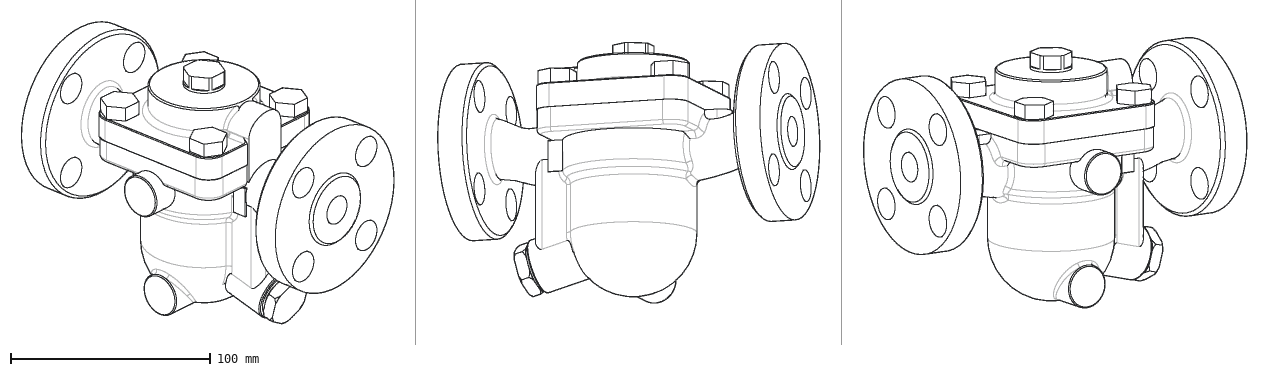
import cadquery as cq
import math

FACE_TO_FACE = 175.0
BODY_X = -2.5

FLANGE_DIA = 89.0
FLANGE_BACK_X = 71.2
FLANGE_BACK_CHAMFER = 1.8
RAISED_HEIGHT = 1.5
RAISED_BASE_DIA = 38.2
RAISED_FACE_DIA = 35.5
BOLT_HOLE_DIA = 16.0
BOLT_CIRCLE_DIA = 66.7
BORE_DIA = 15.0
NECK_FLANGE_FILLET = 2.5
INLET_BODY_FILLET = 3.0

NECK_HALF_WIDTH = 13.75
INLET_SECTIONS = [
    (FLANGE_BACK_X, 0.6, 15.6),
    (66.0, 0.0, 14.8),
    (57.0, -3.1, 14.1),
    (47.0, -5.4, 14.6),
    (30.0, -9.0, 14.8),
]
OUTLET_SECTIONS = [
    (FLANGE_BACK_X, 0.6, 15.6),
    (66.0, 0.0, 14.8),
    (57.0, -3.1, 14.0),
    (44.0, -4.8, 15.6),
    (30.0, -5.4, 16.0),
]

COVER_SIZE = 80.3
COVER_CORNER_RADIUS = 9.4
BODY_FLANGE_SIZE = 80.0
BODY_FLANGE_CORNER_RADIUS = 10.0
COVER_TOP_Z = 25.4
SPLIT_Z = 12.9
BODY_FLANGE_BOTTOM_Z = 0.6
COVER_EDGE_CHAMFER = 0.5
BODY_FLANGE_EDGE_FILLET = 2.0

CAP_DIA = 56.4
CAP_TOP_Z = 40.5
CAP_BASE_FILLET = 2.8
CAP_TOP_CHAMFER = 0.8
PLUG_COLLAR_DIA = 21.0
PLUG_COLLAR_HEIGHT = 1.4
PLUG_FLATS = 19.0
PLUG_CORNER_DIA = 21.0
PLUG_TOP_Z = 48.9

COVER_BOLT_OFFSET = 30.0
COVER_BOLT_FLATS = 17.0
COVER_BOLT_TOP_Z = 32.7

SHOULDER_RADIUS = 35.6
SHOULDER_BOTTOM_Z = -15.2
BOWL_RADIUS = 32.0
BOWL_TOP_Z = -22.3
BOWL_BOTTOM_Z = -78.7

BOSS_DIA = 22.0
BOSS_CHAMFER = 0.6
UPPER_BOSS_Z = -4.9
UPPER_BOSS_Y = -48.0
DRAIN_BOSS_Z = -65.8
DRAIN_BOSS_Y = -33.3
DRAIN_BOSS_FILLET = 1.8

PASSAGE_RADIUS = 12.0
PASSAGE_AXIS_Z = 27.8
PASSAGE_BOTTOM_Z = -15.2
PASSAGE_REACH = 43.0
PASSAGE_FOOT_FILLET = 2.0
PASSAGE_LOWER_WIDTH = 28.4

RIB_WIDTH = 26.6
RIB_END_X = 46.5
RIB_TOP_Z = -8.8
RIB_CORNER_RADIUS = 5.0
RIB_BODY_FILLET = 3.0
RIB_BOTTOM_Z = -56.0
BARREL_DIA = 28.0
BARREL_TILT = 15.0
BARREL_END_X = 48.3
BARREL_END_Z = -60.8
BARREL_LENGTH = 45.0
BARREL_END_CHAMFER = 0.6
STRAINER_GASKET_DIA = 24.0
STRAINER_GASKET_HEIGHT = 1.3
STRAINER_HEX_FLATS = 24.0
STRAINER_HEX_HEIGHT = 6.4
STRAINER_HEX_CHAMFER = 1.2

TAB_WIDTH = 11.6
TAB_END_X = -55.0
TAB_TOP_Z = 12.8
TAB_BOTTOM_Z = 4.0

EDGE_SAMPLES = (0.2, 0.5, 0.8)
TOUCH_GAP = 0.001


def across_corners(flats):
    return flats / math.cos(math.pi / 6)


def fillet_joint(first, second, radius):
    """Join two solids and round the edges along which their surfaces meet."""
    joined = first.union(second)
    skins = [cq.Compound.makeCompound(piece.faces().vals()) for piece in (first, second)]

    def on_both_skins(edge):
        samples = [cq.Vertex.makeVertex(*edge.positionAt(share).toTuple()) for share in EDGE_SAMPLES]
        return all(skin.distance(sample) < TOUCH_GAP for skin in skins for sample in samples)

    meeting_edges = [edge for edge in joined.edges().vals() if on_both_skins(edge)]
    return joined.newObject(meeting_edges).fillet(radius)


def cylinder_z(x, y, bottom, top, diameter):
    return cq.Workplane("XY").workplane(offset=bottom).center(x, y).circle(diameter / 2).extrude(top - bottom)


def make_flange():
    """Undrilled flange on the -X end, with its raised face."""
    back = FLANGE_BACK_X
    rim = FACE_TO_FACE / 2 - RAISED_HEIGHT
    tip = FACE_TO_FACE / 2
    radius = FLANGE_DIA / 2
    profile = [
        (-back, 0),
        (-back, radius - FLANGE_BACK_CHAMFER),
        (-back - FLANGE_BACK_CHAMFER, radius),
        (-rim, radius),
        (-rim, RAISED_BASE_DIA / 2),
        (-tip, RAISED_FACE_DIA / 2),
        (-tip, 0),
    ]
    return cq.Workplane("XZ").polyline(profile).close().revolve(360, (0, 0), (1, 0))


def make_flange_holes():
    """Bolt holes and blind bore of the -X flange, as solids to cut away."""
    tip = FACE_TO_FACE / 2
    depth = tip - FLANGE_BACK_X
    bolt_pitch = BOLT_CIRCLE_DIA / math.sqrt(2)
    face = cq.Workplane("YZ", origin=(-tip, 0, 0))
    bolt_holes = (
        face.rect(bolt_pitch, bolt_pitch, forConstruction=True)
        .vertices()
        .circle(BOLT_HOLE_DIA / 2)
        .extrude(depth)
    )
    bore = cq.Workplane("YZ", origin=(-tip, 0, 0)).circle(BORE_DIA / 2).extrude(depth)
    return bolt_holes.union(bore)


def make_neck(sections, side):
    """Lofted pipe neck running from a flange into the body; side is -1 (inlet) or +1 (outlet)."""
    wires = []
    for distance, centre_z, half_height in sections:
        plane = cq.Workplane("YZ", origin=(side * distance, 0, centre_z))
        wires.append(plane.ellipse(NECK_HALF_WIDTH, half_height).wires().val())
    return cq.Workplane(cq.Solid.makeLoft(wires))


def make_slab(size, corner_radius, bottom, top):
    return (
        cq.Workplane("XY", origin=(BODY_X, 0, bottom))
        .rect(size, size)
        .extrude(top - bottom)
        .edges("|Z")
        .fillet(corner_radius)
    )


def make_body():
    """Body flange over a round shoulder and a bowl with a spherical bottom."""
    flange = make_slab(BODY_FLANGE_SIZE, BODY_FLANGE_CORNER_RADIUS, BODY_FLANGE_BOTTOM_Z, SPLIT_Z)
    flange = flange.faces("<Z").edges().fillet(BODY_FLANGE_EDGE_FILLET)
    sphere_z = BOWL_BOTTOM_Z + BOWL_RADIUS
    arc_reach = BOWL_RADIUS * math.sqrt(0.5)
    middle_radius = (SHOULDER_RADIUS + BOWL_RADIUS) / 2
    middle_z = (SHOULDER_BOTTOM_Z + BOWL_TOP_Z) / 2
    bowl = (
        cq.Workplane("XZ", origin=(BODY_X, 0, 0))
        .moveTo(0, SPLIT_Z)
        .lineTo(SHOULDER_RADIUS, SPLIT_Z)
        .lineTo(SHOULDER_RADIUS, SHOULDER_BOTTOM_Z)
        .tangentArcPoint((middle_radius, middle_z), relative=False)
        .tangentArcPoint((BOWL_RADIUS, BOWL_TOP_Z), relative=False)
        .lineTo(BOWL_RADIUS, sphere_z)
        .threePointArc((arc_reach, sphere_z - arc_reach), (0, BOWL_BOTTOM_Z))
        .close()
        .revolve(360, (0, 0), (0, 1))
    )
    return flange.union(bowl)


def make_passage(width, bottom, top):
    """Upright wall of the outlet passage, rounded on its outer end about the body axis."""
    wall = (
        cq.Workplane("XY", origin=(BODY_X, 0, bottom))
        .rect(2 * PASSAGE_REACH, width)
        .extrude(top - bottom)
        .intersect(right_half())
    )
    return wall.intersect(passage_limit())


def make_passage_ridge():
    """Half-round ridge over the cover where the outlet passage leaves the cap."""
    start = cq.Workplane("YZ", origin=(BODY_X, 0, PASSAGE_AXIS_Z))
    ridge = start.circle(PASSAGE_RADIUS).extrude(PASSAGE_REACH)
    wall = make_passage(2 * PASSAGE_RADIUS, BODY_FLANGE_BOTTOM_Z, PASSAGE_AXIS_Z)
    return ridge.intersect(passage_limit()).union(wall)


def make_ridged_cover():
    """Cover with the passage ridge, rounded along the ridge's two straight feet."""
    feet = cq.selectors.BoxSelector(
        (BODY_X, -PASSAGE_RADIUS - 1, COVER_TOP_Z - 0.1),
        (BODY_X + PASSAGE_REACH, PASSAGE_RADIUS + 1, COVER_TOP_Z + 0.1),
    )
    return make_cover().union(make_passage_ridge()).edges("|X").edges(feet).fillet(PASSAGE_FOOT_FILLET)


def passage_limit():
    return cylinder_z(BODY_X, 0, PASSAGE_BOTTOM_Z, CAP_TOP_Z, 2 * PASSAGE_REACH)


def make_cover():
    """Square cover with the round cap blended into its top."""
    slab = make_slab(COVER_SIZE, COVER_CORNER_RADIUS, SPLIT_Z, COVER_TOP_Z)
    slab = slab.faces(">Z").edges().chamfer(COVER_EDGE_CHAMFER)
    cap = cylinder_z(BODY_X, 0, SPLIT_Z, CAP_TOP_Z, CAP_DIA).faces(">Z").edges().chamfer(CAP_TOP_CHAMFER)
    cap_foot = cq.selectors.BoxSelector(
        (BODY_X - 1, -1, COVER_TOP_Z - 1),
        (BODY_X + 1, 1, COVER_TOP_Z + 1),
    )
    return slab.union(cap).edges(cap_foot).fillet(CAP_BASE_FILLET)


def make_cap_plug():
    """Collar and hex head on the cap; the hex corners are turned down."""
    collar_top = CAP_TOP_Z + PLUG_COLLAR_HEIGHT
    collar = cylinder_z(BODY_X, 0, SPLIT_Z, collar_top, PLUG_COLLAR_DIA)
    turned = cylinder_z(BODY_X, 0, collar_top, PLUG_TOP_Z, PLUG_CORNER_DIA)
    head = (
        cq.Workplane("XY", origin=(BODY_X, 0, collar_top))
        .transformed(rotate=(0, 0, 90))
        .polygon(6, across_corners(PLUG_FLATS))
        .extrude(PLUG_TOP_Z - collar_top)
        .intersect(turned)
    )
    return collar.union(head)


def make_cover_bolts():
    """Four hex heads; diagonal pairs share one orientation."""
    bolts = cq.Workplane("XY")
    for side_x in (-1, 1):
        for side_y in (-1, 1):
            turn = 90 if side_x == side_y else 0
            x = BODY_X + side_x * COVER_BOLT_OFFSET
            y = side_y * COVER_BOLT_OFFSET
            head = (
                cq.Workplane("XY", origin=(x, y, COVER_TOP_Z))
                .transformed(rotate=(0, 0, turn))
                .polygon(6, across_corners(COVER_BOLT_FLATS))
                .extrude(COVER_BOLT_TOP_Z - COVER_TOP_Z)
            )
            bolts = bolts.union(head)
    return bolts


def make_side_boss(z, end_y):
    boss = cq.Workplane("XZ", origin=(BODY_X, 0, z)).circle(BOSS_DIA / 2).extrude(-end_y)
    return boss.faces("<Y").edges().chamfer(BOSS_CHAMFER)


def make_rib():
    """Vertical rib between the outlet passage and the strainer barrel."""
    return (
        cq.Workplane("XY", origin=(BODY_X, 0, RIB_BOTTOM_Z))
        .rect(2 * (RIB_END_X - BODY_X), RIB_WIDTH)
        .extrude(RIB_TOP_Z - RIB_BOTTOM_Z)
        .edges("|Z and >X")
        .fillet(RIB_CORNER_RADIUS)
        .intersect(right_half())
    )


def right_half():
    """Block covering everything on the +X side of the body axis."""
    side = 2 * FACE_TO_FACE
    return cq.Workplane("XY", origin=(BODY_X, 0, 0)).box(side, side, side, centered=(False, True, True))


def make_strainer():
    """Tilted barrel with a gasket and a hex plug on its outer end."""
    tilt = math.radians(BARREL_TILT)
    axis = cq.Vector(math.cos(tilt), 0, -math.sin(tilt))
    across = cq.Vector(math.sin(tilt), 0, math.cos(tilt))
    end = cq.Vector(BARREL_END_X, 0, BARREL_END_Z)

    def disc_plane(distance):
        return cq.Workplane(cq.Plane(origin=end + axis * distance, xDir=across, normal=axis))

    barrel = disc_plane(0).circle(BARREL_DIA / 2).extrude(-BARREL_LENGTH)
    barrel = barrel.edges(cq.selectors.NearestToPointSelector((end + across * BARREL_DIA / 2).toTuple()))
    barrel = barrel.chamfer(BARREL_END_CHAMFER)
    gasket = disc_plane(0).circle(STRAINER_GASKET_DIA / 2).extrude(STRAINER_GASKET_HEIGHT)
    corner_dia = across_corners(STRAINER_HEX_FLATS)
    turned = disc_plane(STRAINER_GASKET_HEIGHT).circle(corner_dia / 2).extrude(STRAINER_HEX_HEIGHT)
    turned = turned.edges().chamfer(STRAINER_HEX_CHAMFER)
    head = disc_plane(STRAINER_GASKET_HEIGHT).polygon(6, corner_dia).extrude(STRAINER_HEX_HEIGHT)
    return barrel.union(gasket).union(head.intersect(turned))


def make_inlet_tab():
    """Round-ended tab standing on the inlet neck against the body flange."""
    radius = TAB_WIDTH / 2
    centre_x = TAB_END_X + radius
    return (
        cq.Workplane("XY", origin=(0, 0, TAB_BOTTOM_Z))
        .moveTo(BODY_X - COVER_SIZE / 4, radius)
        .lineTo(centre_x, radius)
        .threePointArc((TAB_END_X, 0), (centre_x, -radius))
        .lineTo(BODY_X - COVER_SIZE / 4, -radius)
        .close()
        .extrude(TAB_TOP_Z - TAB_BOTTOM_Z)
    )


def make_casting():
    """All cast parts between the two flanges."""
    body = fillet_joint(make_body(), make_side_boss(DRAIN_BOSS_Z, DRAIN_BOSS_Y), DRAIN_BOSS_FILLET)
    body = fillet_joint(body, make_rib(), RIB_BODY_FILLET)
    body = fillet_joint(body, make_neck(INLET_SECTIONS, -1), INLET_BODY_FILLET)
    return (
        body.union(make_passage(PASSAGE_LOWER_WIDTH, PASSAGE_BOTTOM_Z, BODY_FLANGE_BOTTOM_Z))
        .union(make_side_boss(UPPER_BOSS_Z, UPPER_BOSS_Y))
        .union(make_strainer())
        .union(make_inlet_tab())
        .union(make_ridged_cover())
    )


inlet = fillet_joint(make_flange(), make_neck(INLET_SECTIONS, -1), NECK_FLANGE_FILLET)
outlet = fillet_joint(make_flange().mirror("YZ"), make_neck(OUTLET_SECTIONS, 1), NECK_FLANGE_FILLET)
result = (
    make_casting()
    .union(inlet)
    .union(outlet)
    .cut(make_flange_holes())
    .cut(make_flange_holes().mirror("YZ"))
    .union(make_cap_plug())
    .union(make_cover_bolts())
)